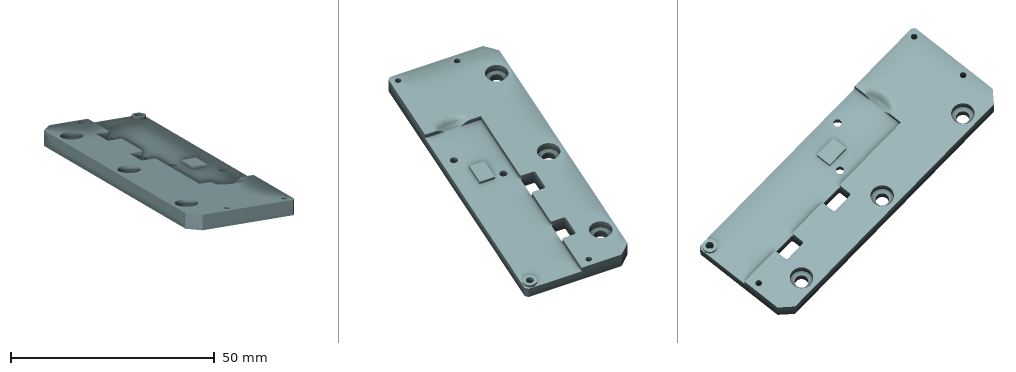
import cadquery as cq

LENGTH = 80.0
WIDTH = 29.0
THICKNESS = 4.0
FRONT_CHAMFER = 3.0
BACK_CHAMFER = 0.7

RECESS_LENGTH = 58.2
RECESS_WIDTH = 15.1
RECESS_DEPTH = 1.2
RECESS_FLOOR = THICKNESS - RECESS_DEPTH
RECESS_FRONT = WIDTH - RECESS_WIDTH
FEATURE_Y = 21.5
PAD_HEIGHT = 0.7

PAD_LENGTH = 6.1
PAD_WIDTH = 4.2
PAD_CENTER = (41.1, FEATURE_Y)

CORNER_HOLE_INSET = 2.0
CORNER_HOLE_SPACING = 16.0
CORNER_HOLE_DIAMETER = 1.6
BOSS_DIAMETER = 3.6
BOSS_HOLE_DIAMETER = 2.0

FLOOR_HOLE_DIAMETER = 2.0
FLOOR_HOLES = [(38.9, 16.8), (48.2, 25.8)]
FLOOR_COUNTERBORE_DIAMETER = 3.2
FLOOR_COUNTERBORE_DEPTH = 2.0

SCREW_INSET = 10.0
SCREW_Y = 4.0
SCREW_HOLE_DIAMETER = 3.4
COUNTERBORE_DIAMETER = 5.8
COUNTERBORE_DEPTH = 2.0

WINDOW_LENGTH = 6.3
WINDOW_FRONT = 10.0
WINDOW_CORNER_RADIUS = 0.5
WINDOW_WIDTH = RECESS_FRONT - WINDOW_FRONT
WINDOW_LEFT_EDGES = (11.4, 29.0)

NOTCH_RADIUS = 6.0
NOTCH_DEPTH = 1.5
NOTCH_STRAIGHT = 0.9
NOTCH_END_RADIUS = 1.5
NOTCH_RIM_RADIUS = 2.0

SELECTION_MARGIN = 0.1

BACK_HOLE_Y = WIDTH - CORNER_HOLE_INSET
FRONT_HOLE_Y = BACK_HOLE_Y - CORNER_HOLE_SPACING
RIGHT_HOLE_X = LENGTH - CORNER_HOLE_INSET
BOSS_CENTER = (CORNER_HOLE_INSET, BACK_HOLE_Y)


def make_plate():
    plate = cq.Workplane("XY").box(LENGTH, WIDTH, THICKNESS, centered=False)
    plate = plate.edges("|Z and <Y").chamfer(FRONT_CHAMFER)
    return plate.edges("|Z and >Y").chamfer(BACK_CHAMFER)


def holes_from_below(centers, diameter, depth=THICKNESS):
    return cq.Workplane("XY").pushPoints(centers).circle(diameter / 2).extrude(depth)


def cut_notch(plate):
    """Sink a cylinder with a rounded end, lying along X, into the top face and round the rim."""
    axis_z = THICKNESS + NOTCH_RADIUS - NOTCH_DEPTH
    cutter = (
        cq.Workplane("YZ", origin=(RECESS_LENGTH, FEATURE_Y, axis_z))
        .circle(NOTCH_RADIUS)
        .extrude(NOTCH_STRAIGHT + NOTCH_END_RADIUS)
        .faces(">X").edges().fillet(NOTCH_END_RADIUS)
    )
    rim_area = cq.selectors.BoxSelector(
        (RECESS_LENGTH + SELECTION_MARGIN, FEATURE_Y - NOTCH_RADIUS, THICKNESS - SELECTION_MARGIN),
        (RECESS_LENGTH + NOTCH_RADIUS, FEATURE_Y + NOTCH_RADIUS, THICKNESS + SELECTION_MARGIN),
    )
    return plate.cut(cutter).edges(rim_area).fillet(NOTCH_RIM_RADIUS)


def make_windows():
    centers = [
        (left + WINDOW_LENGTH / 2, WINDOW_FRONT + WINDOW_WIDTH / 2)
        for left in WINDOW_LEFT_EDGES
    ]
    return (
        cq.Workplane("XY").pushPoints(centers)
        .rect(WINDOW_LENGTH, WINDOW_WIDTH).extrude(THICKNESS)
        .edges("|Z").fillet(WINDOW_CORNER_RADIUS)
    )


def make_recess():
    """Open the recess into the windows with rounded corners, sparing the pad and the boss."""
    recess = (
        cq.Workplane("XY", origin=(0, RECESS_FRONT, RECESS_FLOOR))
        .box(RECESS_LENGTH, RECESS_WIDTH, RECESS_DEPTH, centered=False)
    )
    for left in WINDOW_LEFT_EDGES:
        opening = (
            cq.Workplane("XY", origin=(left, WINDOW_FRONT, RECESS_FLOOR))
            .box(WINDOW_LENGTH, WINDOW_WIDTH, RECESS_DEPTH, centered=False)
        )
        recess = recess.union(opening)
    first_left = min(WINDOW_LEFT_EDGES)
    last_right = max(WINDOW_LEFT_EDGES) + WINDOW_LENGTH
    opening_area = cq.selectors.BoxSelector(
        (first_left - SELECTION_MARGIN, WINDOW_FRONT - SELECTION_MARGIN, RECESS_FLOOR),
        (last_right + SELECTION_MARGIN, RECESS_FRONT + SELECTION_MARGIN, THICKNESS),
    )
    recess = recess.edges("|Z").edges(opening_area).fillet(WINDOW_CORNER_RADIUS)

    floor = cq.Workplane("XY", origin=(0, 0, RECESS_FLOOR))
    pad = floor.center(*PAD_CENTER).rect(PAD_LENGTH, PAD_WIDTH).extrude(PAD_HEIGHT)
    boss = floor.center(*BOSS_CENTER).circle(BOSS_DIAMETER / 2).extrude(PAD_HEIGHT)
    return recess.cut(pad).cut(boss)


def make_screw_holes():
    centers = [(x, SCREW_Y) for x in (SCREW_INSET, LENGTH / 2, LENGTH - SCREW_INSET)]
    counterbores = (
        cq.Workplane("XY", origin=(0, 0, THICKNESS)).pushPoints(centers)
        .circle(COUNTERBORE_DIAMETER / 2).extrude(-COUNTERBORE_DEPTH)
    )
    return holes_from_below(centers, SCREW_HOLE_DIAMETER).union(counterbores)


corner_holes = [
    (CORNER_HOLE_INSET, FRONT_HOLE_Y),
    (RIGHT_HOLE_X, FRONT_HOLE_Y),
    (RIGHT_HOLE_X, BACK_HOLE_Y),
]

result = (
    cut_notch(make_plate())
    .cut(make_recess())
    .cut(make_windows())
    .cut(make_screw_holes())
    .cut(holes_from_below(corner_holes, CORNER_HOLE_DIAMETER))
    .cut(holes_from_below([BOSS_CENTER], BOSS_HOLE_DIAMETER))
    .cut(holes_from_below(FLOOR_HOLES, FLOOR_HOLE_DIAMETER))
    .cut(holes_from_below(FLOOR_HOLES, FLOOR_COUNTERBORE_DIAMETER, FLOOR_COUNTERBORE_DEPTH))
)